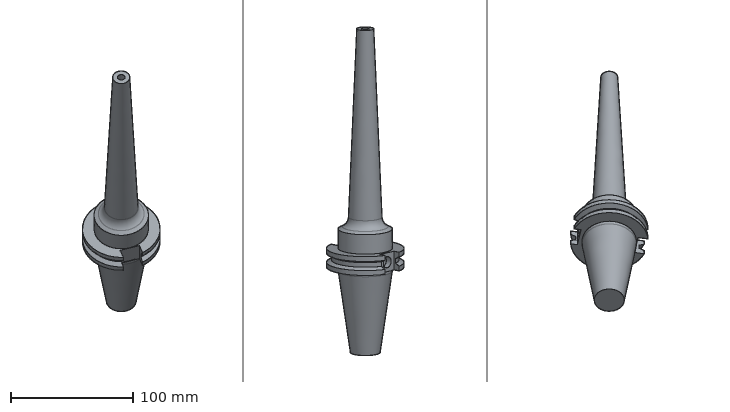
import cadquery as cq
import math

gauge_z = 68.5
flange_bottom_z = 71.7
flange_top_z = 87.5
body_top_z = 103.7
shoulder_z = 105.5
neck_base_z = 113.5
total_height = 271.5

gauge_radius = 22.3
taper_slope = 7 / 48
taper_end_radius = gauge_radius - gauge_z * taper_slope
flange_radius = 31.8
body_radius = 22.3
shoulder_radius = 18.7
neck_base_radius = 13.8
tip_radius = 7.0

groove_z = (flange_bottom_z + flange_top_z) / 2
groove_mouth = 7.5
groove_floor_radius = 27.7
groove_flank_angle = 25.0

slot_width = 16.5
left_slot_floor = 25.0
right_slot_floor = 22.5
side_hole_diameter = 9.2
side_hole_depth = 5.5
bore_diameter = 6.0
bore_depth = 27.1


def make_body():
    """Revolve the taper, flange, cylindrical body and slender neck."""
    neck_tangent = (tip_radius - neck_base_radius, total_height - neck_base_z)
    profile = (
        cq.Workplane("XZ")
        .lineTo(taper_end_radius, 0)
        .lineTo(gauge_radius, gauge_z)
        .lineTo(gauge_radius, flange_bottom_z)
        .lineTo(flange_radius, flange_bottom_z)
        .lineTo(flange_radius, flange_top_z)
        .lineTo(body_radius, flange_top_z)
        .lineTo(body_radius, body_top_z)
        .lineTo(shoulder_radius, shoulder_z)
    )
    length = math.hypot(*neck_tangent)
    normal = (neck_tangent[1] / length, -neck_tangent[0] / length)
    chord = (shoulder_radius - neck_base_radius, shoulder_z - neck_base_z)
    root_radius = (chord[0] ** 2 + chord[1] ** 2) / (2 * (chord[0] * normal[0] + chord[1] * normal[1]))
    center = (neck_base_radius + root_radius * normal[0], neck_base_z + root_radius * normal[1])
    chord_middle = (neck_base_radius + chord[0] / 2, neck_base_z + chord[1] / 2)
    outward = (chord_middle[0] - center[0], chord_middle[1] - center[1])
    stretch = root_radius / math.hypot(*outward)
    arc_middle = (center[0] + outward[0] * stretch, center[1] + outward[1] * stretch)
    return (
        profile.threePointArc(arc_middle, (neck_base_radius, neck_base_z))
        .lineTo(tip_radius, total_height)
        .lineTo(0, total_height)
        .close()
        .revolve(360, (0, 0, 0), (0, 1, 0))
    )


def make_groove():
    """Ring with sloped flanks that cuts the gripper groove."""
    flank_height = (flange_radius - groove_floor_radius) * math.tan(math.radians(groove_flank_angle))
    half_mouth = groove_mouth / 2
    half_floor = half_mouth - flank_height
    return (
        cq.Workplane("XZ")
        .moveTo(flange_radius, groove_z - half_mouth)
        .lineTo(groove_floor_radius, groove_z - half_floor)
        .lineTo(groove_floor_radius, groove_z + half_floor)
        .lineTo(flange_radius, groove_z + half_mouth)
        .close()
        .revolve(360, (0, 0, 0), (0, 1, 0))
    )


def make_slot(side, floor):
    """Drive slot through the flange height; side is -1 for -X and +1 for +X."""
    return cq.Workplane("XY").box(
        flange_radius - floor, slot_width, flange_top_z - flange_bottom_z
    ).translate((side * (flange_radius + floor) / 2, 0, groove_z))


def make_side_hole():
    """Blind hole in the floor of the -X drive slot."""
    return (
        cq.Workplane("YZ", origin=(-left_slot_floor, 0, groove_z))
        .circle(side_hole_diameter / 2)
        .extrude(side_hole_depth)
    )


def make_bore():
    """Blind tool bore in the tip."""
    return (
        cq.Workplane("XY", origin=(0, 0, total_height))
        .circle(bore_diameter / 2)
        .extrude(-bore_depth)
    )


result = (
    make_body()
    .cut(make_groove())
    .cut(make_slot(-1, left_slot_floor))
    .cut(make_slot(1, right_slot_floor))
    .cut(make_side_hole())
    .cut(make_bore())
)